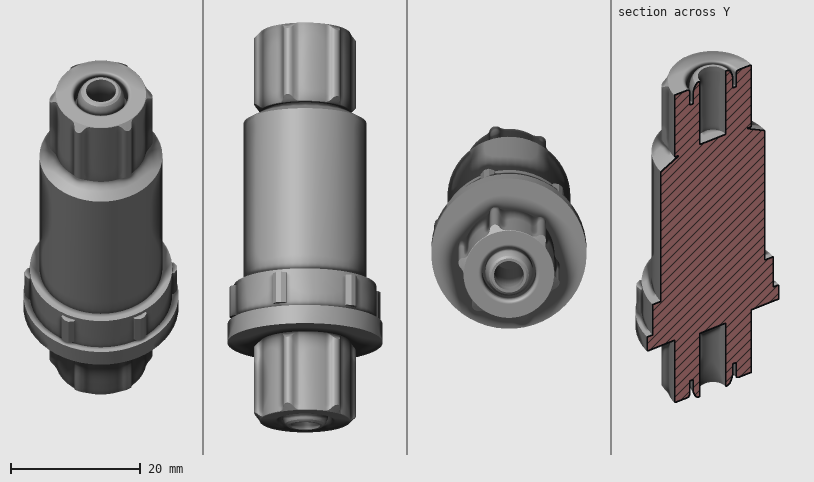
import cadquery as cq
import math

TOTAL_LENGTH = 63.3
NOZZLE_PROTRUSION = 0.75
NUT_LENGTH = 12.55
FLANGE_HEIGHT = 2.9
COLLAR_HEIGHT = 6.1
SHOULDER_HEIGHT = 1.8

FLANGE_DIAMETER = 24.0
COLLAR_DIAMETER = 22.0
BODY_DIAMETER = 19
SHOULDER_TOP_DIAMETER = 12.65

RIB_COUNT = 6
RIB_BASE_WIDTH = 2.2
RIB_TOP_WIDTH = 0.75
RIB_SHOULDER_RADIUS = 11.25
RIB_TOP_RADIUS = 11.8
RIB_TOP_GAP = 0.6
RIB_BOTTOM_GAP = 0.7
RIB_EMBED = 0.3

LOBE_COUNT = 6
NUT_RADIUS = 7.0
LOBE_TIP_RADIUS = 8.0
LOBE_ROUNDING = 0.9
LOBE_BLEND = 1.2
NUT_FACE_RADIUS = 6.95

RECESS_DIAMETER = 8.35
RECESS_LIP_ROUNDING = 0.6
RECESS_DEPTH = 3.15

NOZZLE_DIAMETER = 7.35
NOZZLE_RIM_DIAMETER = 6.15
NOZZLE_TIP_DIAMETER = 5.45
NOZZLE_RIM_DROP = 0.25
NOZZLE_FLARE_HEIGHT = 1.9
BORE_DIAMETER = 4.6
BORE_DEPTH = 12.65

flange_bottom = NOZZLE_PROTRUSION + NUT_LENGTH
flange_top = flange_bottom + FLANGE_HEIGHT
collar_top = flange_top + COLLAR_HEIGHT
nut_face = TOTAL_LENGTH - NOZZLE_PROTRUSION
shoulder_top = nut_face - NUT_LENGTH
shoulder_bottom = shoulder_top - SHOULDER_HEIGHT


def polar(radius, angle):
    """Point at the given radius and angle (degrees) about the part axis."""
    return (radius * math.cos(math.radians(angle)), radius * math.sin(math.radians(angle)))


def point_between(start, end, fraction):
    """Point on the straight line from start to end."""
    return tuple(a + fraction * (b - a) for a, b in zip(start, end))


def make_body():
    """Flange, collar, barrel and conical shoulder, as one turned profile."""
    return (
        cq.Workplane("XZ")
        .moveTo(0, flange_bottom)
        .lineTo(FLANGE_DIAMETER / 2, flange_bottom)
        .lineTo(FLANGE_DIAMETER / 2, flange_top)
        .lineTo(COLLAR_DIAMETER / 2, flange_top)
        .lineTo(COLLAR_DIAMETER / 2, collar_top)
        .lineTo(BODY_DIAMETER / 2, collar_top)
        .lineTo(BODY_DIAMETER / 2, shoulder_bottom)
        .lineTo(SHOULDER_TOP_DIAMETER / 2, shoulder_top)
        .lineTo(0, shoulder_top)
        .close()
        .revolve(360, (0, 0, 0), (0, 1, 0))
    )


def make_rib(angle):
    """Straight-sided rib with beveled crest, standing on the collar and short of both collar ends."""
    root_radius = COLLAR_DIAMETER / 2 - RIB_EMBED
    rib_height = COLLAR_HEIGHT - RIB_TOP_GAP - RIB_BOTTOM_GAP
    outline = [
        (root_radius, -RIB_BASE_WIDTH / 2),
        (RIB_SHOULDER_RADIUS, -RIB_BASE_WIDTH / 2),
        (RIB_TOP_RADIUS, -RIB_TOP_WIDTH / 2),
        (RIB_TOP_RADIUS, RIB_TOP_WIDTH / 2),
        (RIB_SHOULDER_RADIUS, RIB_BASE_WIDTH / 2),
        (root_radius, RIB_BASE_WIDTH / 2),
    ]
    rib = cq.Workplane("XY", origin=(0, 0, flange_top + RIB_BOTTOM_GAP)).polyline(outline).close()
    return rib.extrude(rib_height).rotate((0, 0, 0), (0, 0, 1), angle)


def make_nut_blank():
    """Lobed prism: each lobe is a round crest blended into the nut by tangent arcs."""
    crest_center_radius = LOBE_TIP_RADIUS - LOBE_ROUNDING
    blend_center_radius = NUT_RADIUS + LOBE_BLEND
    center_distance = LOBE_ROUNDING + LOBE_BLEND
    cosine = (blend_center_radius**2 + crest_center_radius**2 - center_distance**2) / (
        2 * blend_center_radius * crest_center_radius
    )
    blend_angle = math.degrees(math.acos(cosine))
    pitch = 360 / LOBE_COUNT
    first_lobe = 90

    outline = cq.Workplane("XY").moveTo(*polar(NUT_RADIUS, first_lobe - blend_angle))
    for i in range(LOBE_COUNT):
        lobe = first_lobe + i * pitch
        crest_center = polar(crest_center_radius, lobe)
        for side in (-1, 1):
            blend_center = polar(blend_center_radius, lobe + side * blend_angle)
            foot = polar(NUT_RADIUS, lobe + side * blend_angle)
            junction = point_between(crest_center, blend_center, LOBE_ROUNDING / center_distance)
            chord_middle = point_between(foot, junction, 0.5)
            reach = LOBE_BLEND / math.dist(blend_center, chord_middle)
            blend_middle = point_between(blend_center, chord_middle, reach)
            if side < 0:
                outline = outline.threePointArc(blend_middle, junction)
            else:
                outline = outline.threePointArc(polar(LOBE_TIP_RADIUS, lobe), junction)
                outline = outline.threePointArc(blend_middle, foot)
        next_foot = polar(NUT_RADIUS, lobe + pitch - blend_angle)
        outline = outline.threePointArc(polar(NUT_RADIUS, lobe + pitch / 2), next_foot)
    return outline.close().extrude(NUT_LENGTH)


def make_nut():
    """Nut seated at Z = shoulder_top, with 45 degree bevels at both ends."""
    bevel = LOBE_TIP_RADIUS - NUT_FACE_RADIUS
    envelope = cq.Workplane("XY").circle(LOBE_TIP_RADIUS).extrude(NUT_LENGTH).edges().chamfer(bevel)
    return make_nut_blank().intersect(envelope).translate((0, 0, shoulder_top))


def make_recess():
    """Round recess in the nut face, opened out by a rounded lip."""
    recess_radius = RECESS_DIAMETER / 2
    arc_offset = RECESS_LIP_ROUNDING * (1 - math.sqrt(0.5))
    return (
        cq.Workplane("XZ")
        .moveTo(0, nut_face - RECESS_DEPTH)
        .lineTo(recess_radius, nut_face - RECESS_DEPTH)
        .lineTo(recess_radius, nut_face - RECESS_LIP_ROUNDING)
        .threePointArc(
            (recess_radius + arc_offset, nut_face - arc_offset),
            (recess_radius + RECESS_LIP_ROUNDING, nut_face),
        )
        .lineTo(0, nut_face)
        .close()
        .revolve(360, (0, 0, 0), (0, 1, 0))
    )


def make_nozzle():
    """Hose nozzle flaring from a beveled tip down to a straight stem."""
    rim_height = TOTAL_LENGTH - NOZZLE_RIM_DROP
    stem_top = rim_height - NOZZLE_FLARE_HEIGHT
    recess_floor = nut_face - RECESS_DEPTH
    return (
        cq.Workplane("XZ")
        .moveTo(0, recess_floor)
        .lineTo(NOZZLE_DIAMETER / 2, recess_floor)
        .lineTo(NOZZLE_DIAMETER / 2, stem_top)
        .tangentArcPoint((NOZZLE_RIM_DIAMETER / 2, rim_height), relative=False)
        .lineTo(NOZZLE_TIP_DIAMETER / 2, TOTAL_LENGTH)
        .lineTo(0, TOTAL_LENGTH)
        .close()
        .revolve(360, (0, 0, 0), (0, 1, 0))
    )


def make_connector():
    """Upper hose connection: nut, recess, nozzle and blind bore."""
    bore = (
        cq.Workplane("XY", origin=(0, 0, TOTAL_LENGTH - BORE_DEPTH))
        .circle(BORE_DIAMETER / 2)
        .extrude(BORE_DEPTH)
    )
    return make_nut().cut(make_recess()).union(make_nozzle()).cut(bore)


upper_connector = make_connector()
lower_connector = upper_connector.mirror("XY", (0, 0, TOTAL_LENGTH / 2))

result = make_body()
for i in range(RIB_COUNT):
    result = result.union(make_rib(90 + i * 360 / RIB_COUNT))
result = result.union(upper_connector).union(lower_connector)